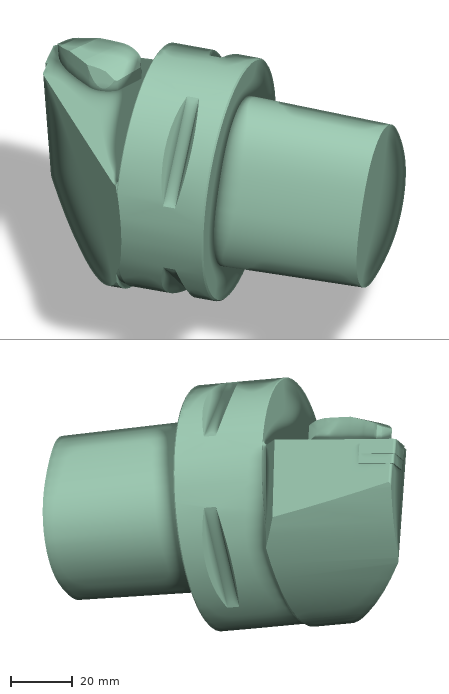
import cadquery as cq
import math


SHANK_LENGTH = 48
SHANK_DIAMETER = 55
SHANK_LOBE = 1.85
SHANK_TAPER = 1 / 20
SHANK_OUTLINE_POINTS = 48

FLANGE_RADIUS = 40
FLANGE_FRONT = -30
FLANGE_FRONT_CHAMFER = 0.3
FLANGE_BACK_CHAMFER = 0.5
SLOT_COUNT = 4
SLOT_X = -12
SLOT_FLOOR_RADIUS = 35.5
SLOT_FLOOR_WIDTH = 4
SLOT_HALF_ANGLE = 28

TIP_X = -80.07
TIP_Y = 55.08
RAKE_ANGLE = 6
RAKE_FILLET_RADIUS = 3
ENVELOPE_FRONT = -90
NECK_RADIUS = 39.5
HEAD_BACK = -31.5
BELLY_RADIUS = 41.2
BELLY_FLAT = 2.5
NOSE_SIDE_RADIUS = 60
FLANK_CORNER_RADIUS = 5

SHOULDER_START = (-37.6, 50.4)
SHOULDER_END = (-31.2, 39.4)

NOSE_CORNER = (0.9, -0.6)
TRAILING_SLOPE = -0.098
LEAD_CORNER = (2.6, -20)
LEAD_SLOPE = -1.495
OUTLINE_REACH = 70

EDGE_ANGLE = 5
NOSE_RADIUS = 0.8
INSERT_EDGE = 12.7
INSERT_THICKNESS = 4.76
SHIM_THICKNESS = 3.2
SHIM_INSET = 0.3

CLAMP_NOSE_START = (3.9, -7.2)
CLAMP_NOSE_MIDDLE = (6.3, -4.1)
CLAMP_NOSE_END = (8.0, -3.9)
CLAMP_TRAILING_SIDE = [(13.4, -6.8), (20, -8.4), (26.3, -9.6), (34.4, -14.1)]
CLAMP_HEEL_START = (35.5, -17.4)
CLAMP_HEEL_END = (30.5, -26.8)
CLAMP_HEEL_MIDDLE = (25.6, -28.1)
CLAMP_LEAD_SIDE_START = (20.7, -26.35)
CLAMP_LEAD_SIDE = [(10.3, -17), (6.5, -12.2), CLAMP_NOSE_START]
CLAMP_BLANK_HEIGHT = 20
CLAMP_START = (4.8, -5.3)
CLAMP_ANGLE = -32
CLAMP_NOSE_FACETS = [(-5, 1), (0, 4.4), (5.2, 6.5), (13.2, 8.5), (21.4, 8.3)]
CLAMP_CREST_MIDDLE = (25.8, 7.7)
CLAMP_CREST_END = (29.8, 6.4)
CLAMP_HEEL_FOOT = (34.5, 2.4)
CLAMP_BEVEL_TOP = -24.8
CLAMP_BEVEL_FOOT = -28.4
CLAMP_BEVEL_HEIGHT = 12
CLAMP_BEVEL_OUTSIDE = -40
CLAMP_SINK = 1

BIG = 200

RAKE_SLOPE = math.tan(math.radians(RAKE_ANGLE))
RAKE_PLANE = cq.Plane(
    origin=(TIP_X, TIP_Y, 0),
    xDir=(1, 0, RAKE_SLOPE),
    normal=(-RAKE_SLOPE, RAKE_SLOPE, 1),
)


def rake_workplane(height=0):
    return cq.Workplane(RAKE_PLANE).workplane(offset=height)


def cylinder_along_x(start, end, radius):
    return cq.Workplane("YZ", origin=(start, 0, 0)).circle(radius).extrude(end - start)


def shank_section(x, mean_radius):
    points = []
    for index in range(SHANK_OUTLINE_POINTS):
        angle = 2 * math.pi * index / SHANK_OUTLINE_POINTS
        radius = mean_radius - SHANK_LOBE * math.sin(3 * angle)
        points.append(cq.Vector(x, radius * math.cos(angle), radius * math.sin(angle)))
    return cq.Wire.assembleEdges([cq.Edge.makeSpline(points, periodic=True)])


def build_shank():
    base_radius = SHANK_DIAMETER / 2
    end_radius = base_radius - SHANK_LENGTH * SHANK_TAPER / 2
    sections = [shank_section(0, base_radius), shank_section(SHANK_LENGTH, end_radius)]
    return cq.Workplane(cq.Solid.makeLoft(sections, True))


def gripper_slot():
    """A straight flat-bottomed V groove across the top of the flange."""
    height = 2 * (FLANGE_RADIUS - SLOT_FLOOR_RADIUS)
    half_floor = SLOT_FLOOR_WIDTH / 2
    half_mouth = half_floor + height * math.tan(math.radians(SLOT_HALF_ANGLE))
    mouth_radius = SLOT_FLOOR_RADIUS + height
    return (
        cq.Workplane("XZ", origin=(SLOT_X, 0, 0))
        .moveTo(-half_floor, SLOT_FLOOR_RADIUS)
        .lineTo(half_floor, SLOT_FLOOR_RADIUS)
        .lineTo(half_mouth, mouth_radius)
        .lineTo(-half_mouth, mouth_radius)
        .close()
        .extrude(FLANGE_RADIUS, both=True)
    )


def build_flange():
    flange = cylinder_along_x(FLANGE_FRONT, 0, FLANGE_RADIUS)
    flange = flange.faces("<X").chamfer(FLANGE_FRONT_CHAMFER)
    flange = flange.faces(">X").chamfer(FLANGE_BACK_CHAMFER)
    pitch = 360 / SLOT_COUNT
    for index in range(SLOT_COUNT):
        turn = pitch * (index + 0.5)
        flange = flange.cut(gripper_slot().rotate((0, 0, 0), (1, 0, 0), turn))
    return flange


def lead_face_end():
    """Far end of the slanted lead face in the rake plane."""
    drop = LEAD_SLOPE * (OUTLINE_REACH - LEAD_CORNER[0])
    return OUTLINE_REACH, LEAD_CORNER[1] + drop


def head_envelope():
    """Belly concentric with the flange, a short flat, then a wider arc towards the tip side."""
    half = math.sqrt(0.5)
    side_y = BELLY_FLAT + NOSE_SIDE_RADIUS
    side_z = NOSE_SIDE_RADIUS - BELLY_RADIUS
    side_middle_y = BELLY_FLAT + NOSE_SIDE_RADIUS * half
    side_middle_z = side_z - NOSE_SIDE_RADIUS * half
    return (
        cq.Workplane("YZ", origin=(ENVELOPE_FRONT, 0, 0))
        .moveTo(-BELLY_RADIUS, 0)
        .threePointArc((-BELLY_RADIUS * half, -BELLY_RADIUS * half), (0, -BELLY_RADIUS))
        .lineTo(BELLY_FLAT, -BELLY_RADIUS)
        .threePointArc((side_middle_y, side_middle_z), (side_y, side_z))
        .lineTo(-BELLY_RADIUS, side_z)
        .close()
        .extrude(HEAD_BACK - ENVELOPE_FRONT)
    )


def upright_edge(corner, height):
    """Selects the edge square to the rake plane that passes nearest to a corner."""
    return cq.selectors.NearestToPointSelector(RAKE_PLANE.toWorldCoords((*corner, height)))


def head_flanks():
    trailing_end = NOSE_CORNER[1] + TRAILING_SLOPE * (OUTLINE_REACH - NOSE_CORNER[0])
    return (
        rake_workplane()
        .moveTo(*NOSE_CORNER)
        .lineTo(OUTLINE_REACH, trailing_end)
        .lineTo(*lead_face_end())
        .lineTo(*LEAD_CORNER)
        .close()
        .extrude(-BIG)
        .edges(upright_edge(LEAD_CORNER, -BIG / 2))
        .fillet(FLANK_CORNER_RADIUS)
        .edges(upright_edge(NOSE_CORNER, -BIG / 2))
        .fillet(NOSE_RADIUS)
    )


def shoulder_clearance():
    """Space behind the shoulder face, which stands parallel to Z."""
    start = cq.Vector(*SHOULDER_START)
    end = cq.Vector(*SHOULDER_END)
    run = end - start
    before = start - run
    after = end + run
    return (
        cq.Workplane("XY")
        .moveTo(before.x, before.y)
        .lineTo(after.x, after.y)
        .lineTo(after.x, before.y)
        .close()
        .extrude(BIG, both=True)
    )


def build_head():
    neck = cylinder_along_x(HEAD_BACK - RAKE_FILLET_RADIUS, FLANGE_FRONT, NECK_RADIUS)
    return head_envelope().intersect(head_flanks()).cut(shoulder_clearance()).union(neck)


def rake_clearance():
    """Space above the rake plane in front of the flange, rounded where the two meet."""
    corner = (FLANGE_FRONT, TIP_Y, RAKE_SLOPE * (FLANGE_FRONT - TIP_X))
    section = cq.Plane(origin=corner, xDir=(1, 0, 0), normal=(0, -1, RAKE_SLOPE))
    drop = BIG * math.sin(math.radians(RAKE_ANGLE))
    return (
        cq.Workplane(section)
        .lineTo(0, BIG)
        .lineTo(-BIG, BIG)
        .lineTo(-BIG, -drop)
        .close()
        .extrude(BIG, both=True)
        .edges(cq.selectors.NearestToPointSelector(corner))
        .fillet(RAKE_FILLET_RADIUS)
    )


def lead_face_clearance():
    """Space outside the lead face, which also clips the flange."""
    end_x, end_y = lead_face_end()
    return (
        rake_workplane(-BIG / 2)
        .moveTo(*LEAD_CORNER)
        .lineTo(end_x, end_y)
        .lineTo(LEAD_CORNER[0], end_y)
        .close()
        .extrude(BIG)
    )


def rhombic_plate(top, inset, thickness):
    """A plate below `top`, its two outer sides moved in by `inset` from the cutting edges."""
    side = INSERT_EDGE - inset
    angle = math.radians(EDGE_ANGLE)
    along_edge = cq.Vector(math.cos(angle), -math.sin(angle))
    down_edge = cq.Vector(math.sin(angle), -math.cos(angle))
    corner = (along_edge + down_edge) * inset
    corners = [
        corner,
        corner + along_edge * side,
        corner + along_edge * side + down_edge * side,
        corner + down_edge * side,
    ]
    plate = rake_workplane(top).polyline(corners).close().extrude(-thickness)
    nose = upright_edge((corner.x, corner.y), top - thickness / 2)
    return plate.edges(nose).fillet(NOSE_RADIUS)


def build_insert():
    return rhombic_plate(0, 0, INSERT_THICKNESS)


def build_shim():
    return rhombic_plate(-INSERT_THICKNESS, SHIM_INSET, SHIM_THICKNESS)


def clamp_plan():
    return (
        rake_workplane(-CLAMP_SINK)
        .moveTo(*CLAMP_NOSE_START)
        .lineTo(*CLAMP_NOSE_MIDDLE)
        .lineTo(*CLAMP_NOSE_END)
        .spline(CLAMP_TRAILING_SIDE, includeCurrent=True)
        .lineTo(*CLAMP_HEEL_START)
        .lineTo(*CLAMP_HEEL_END)
        .threePointArc(CLAMP_HEEL_MIDDLE, CLAMP_LEAD_SIDE_START)
        .spline(CLAMP_LEAD_SIDE, includeCurrent=True)
        .close()
        .extrude(CLAMP_BLANK_HEIGHT)
    )


def clamp_hump():
    """Space under the ridge line, wide enough to cover the whole plan outline."""
    section = cq.Workplane(RAKE_PLANE).center(*CLAMP_START).transformed((90, CLAMP_ANGLE, 0))
    return (
        section
        .moveTo(CLAMP_NOSE_FACETS[0][0], -CLAMP_SINK)
        .lineTo(*CLAMP_NOSE_FACETS[0])
        .polyline(CLAMP_NOSE_FACETS[1:], includeCurrent=True)
        .threePointArc(CLAMP_CREST_MIDDLE, CLAMP_CREST_END)
        .lineTo(*CLAMP_HEEL_FOOT)
        .lineTo(CLAMP_HEEL_FOOT[0], -CLAMP_SINK)
        .close()
        .extrude(BIG, both=True)
    )


def clamp_heel_clearance():
    """Space outside the steep bevel on the heel corner away from the trailing flank."""
    return (
        cq.Workplane(RAKE_PLANE)
        .transformed((90, 90, 0))
        .moveTo(CLAMP_BEVEL_TOP, CLAMP_BEVEL_HEIGHT)
        .lineTo(CLAMP_BEVEL_FOOT, 0)
        .lineTo(CLAMP_BEVEL_OUTSIDE, 0)
        .lineTo(CLAMP_BEVEL_OUTSIDE, CLAMP_BEVEL_HEIGHT)
        .close()
        .extrude(BIG)
    )


def build_clamp():
    return clamp_plan().intersect(clamp_hump()).cut(clamp_heel_clearance())


def build_holder(insert):
    holder = build_flange().union(build_head())
    holder = holder.cut(rake_clearance()).cut(lead_face_clearance())
    holder = holder.union(build_shank()).union(build_shim()).union(build_clamp())
    return holder.cut(insert)


insert = build_insert()
holder = build_holder(insert)

result = cq.Compound.makeCompound([holder.solids().val(), insert.val()])